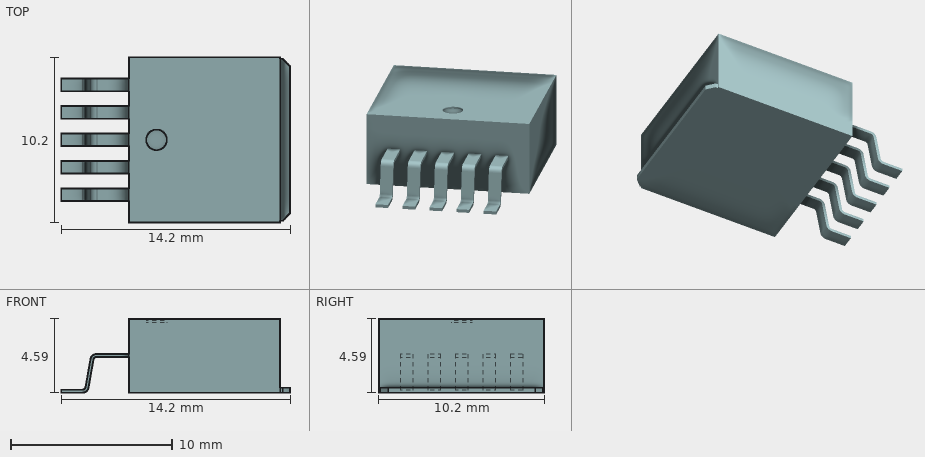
import cadquery as cq
import math

OVERALL_LENGTH = 14.2

HOUSING_START = 4.2
HOUSING_LENGTH = 9.39
HOUSING_WIDTH = 10.25
HOUSING_HEIGHT = 4.59
HOUSING_END = HOUSING_START + HOUSING_LENGTH

TAB_SIDE_STEP = 0.1
TAB_WIDTH = HOUSING_WIDTH - 2 * TAB_SIDE_STEP
TAB_THICKNESS = 0.33
TAB_CORNER_X = 0.45
TAB_CORNER_Y = 0.47

LEAD_COUNT = 5
LEAD_PITCH = 1.7
LEAD_WIDTH = 0.8
LEAD_THICKNESS = 0.2
LEAD_TOP = 2.41
FOOT_LENGTH = 1.32
BEND_INNER_RADIUS = 0.2
BEND_OUTER_RADIUS = BEND_INNER_RADIUS + LEAD_THICKNESS
BEND_ANGLE = math.radians(80)

MARKER_DIAMETER = 1.28
MARKER_SETBACK = 1.72
MARKER_X = HOUSING_START + MARKER_SETBACK
MARKER_THICKNESS = 0.1
MARKER_SINK = 0.1
MARKER_BOTTOM = HOUSING_HEIGHT - MARKER_SINK - MARKER_THICKNESS


def make_marker_cylinder(height):
    """Upright cylinder that stands on the floor of the marker recess."""
    return (
        cq.Workplane("XY", origin=(MARKER_X, 0, MARKER_BOTTOM))
        .circle(MARKER_DIAMETER / 2)
        .extrude(height)
    )


def make_housing():
    """Plain block with the marker recess in its top face."""
    block = cq.Workplane("XY").box(
        HOUSING_LENGTH, HOUSING_WIDTH, HOUSING_HEIGHT, centered=(False, True, False)
    )
    recess = make_marker_cylinder(MARKER_THICKNESS + MARKER_SINK)
    return block.translate((HOUSING_START, 0, 0)).cut(recess)


def make_tab():
    """Flat plate against the rear housing face, with both outer corners cut off."""
    half_width = TAB_WIDTH / 2
    corner_start = OVERALL_LENGTH - TAB_CORNER_X
    end_half_width = half_width - TAB_CORNER_Y
    return (
        cq.Workplane("XY")
        .moveTo(HOUSING_END, -half_width)
        .lineTo(corner_start, -half_width)
        .lineTo(OVERALL_LENGTH, -end_half_width)
        .lineTo(OVERALL_LENGTH, end_half_width)
        .lineTo(corner_start, half_width)
        .lineTo(HOUSING_END, half_width)
        .close()
        .extrude(TAB_THICKNESS)
    )


def make_lead(y_center):
    """Strip with a foot, a sloping riser and a shoulder that meets the front housing face."""
    shoulder_bottom = LEAD_TOP - LEAD_THICKNESS
    bend_radii = BEND_INNER_RADIUS + BEND_OUTER_RADIUS
    riser_height = shoulder_bottom - bend_radii * (1 - math.cos(BEND_ANGLE))
    riser_run = riser_height / math.tan(BEND_ANGLE)
    shoulder_start = FOOT_LENGTH + bend_radii * math.sin(BEND_ANGLE) + riser_run
    lower_center_z = BEND_OUTER_RADIUS
    upper_center_z = LEAD_TOP - BEND_OUTER_RADIUS

    def lower_bend(radius, angle):
        return (FOOT_LENGTH + radius * math.sin(angle), lower_center_z - radius * math.cos(angle))

    def upper_bend(radius, angle):
        return (shoulder_start - radius * math.sin(angle), upper_center_z + radius * math.cos(angle))

    half_angle = BEND_ANGLE / 2
    return (
        cq.Workplane("XZ", origin=(0, y_center + LEAD_WIDTH / 2, 0))
        .moveTo(0, 0)
        .lineTo(FOOT_LENGTH, 0)
        .threePointArc(lower_bend(BEND_OUTER_RADIUS, half_angle), lower_bend(BEND_OUTER_RADIUS, BEND_ANGLE))
        .lineTo(*upper_bend(BEND_INNER_RADIUS, BEND_ANGLE))
        .threePointArc(upper_bend(BEND_INNER_RADIUS, half_angle), (shoulder_start, shoulder_bottom))
        .lineTo(HOUSING_START, shoulder_bottom)
        .lineTo(HOUSING_START, LEAD_TOP)
        .lineTo(shoulder_start, LEAD_TOP)
        .threePointArc(upper_bend(BEND_OUTER_RADIUS, half_angle), upper_bend(BEND_OUTER_RADIUS, BEND_ANGLE))
        .lineTo(*lower_bend(BEND_INNER_RADIUS, BEND_ANGLE))
        .threePointArc(lower_bend(BEND_INNER_RADIUS, half_angle), (FOOT_LENGTH, LEAD_THICKNESS))
        .lineTo(0, LEAD_THICKNESS)
        .close()
        .extrude(LEAD_WIDTH)
    )


housing = make_housing()
tab = make_tab()
marker = make_marker_cylinder(MARKER_THICKNESS)

leads = []
for index in range(LEAD_COUNT):
    y_center = (index - (LEAD_COUNT - 1) / 2) * LEAD_PITCH
    leads.append(make_lead(y_center).val())

result = cq.Compound.makeCompound([housing.val(), tab.val(), marker.val(), *leads])